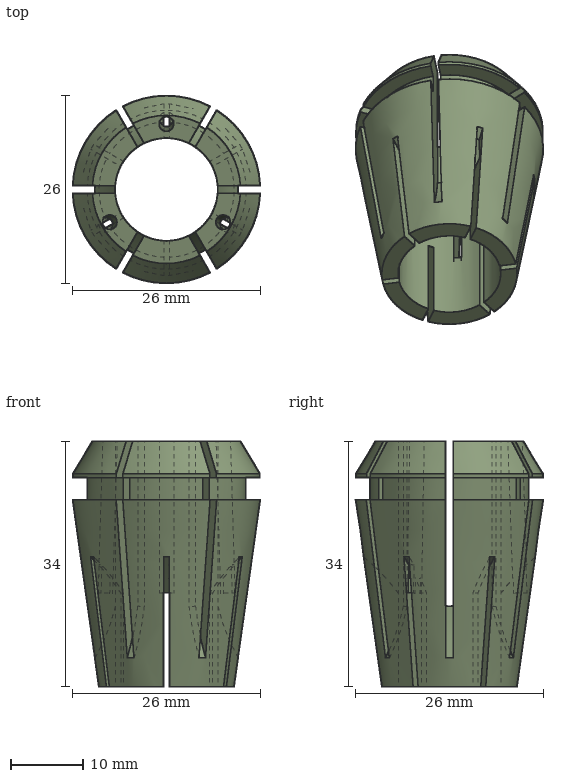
import cadquery as cq
import math

TOTAL_HEIGHT = 34.0
BORE_RADIUS = 7.1
MAX_RADIUS = 13.0
BODY_TOP_Z = 25.9
BODY_TAPER = 8.0
NECK_RADIUS = 11.0
HEAD_BOTTOM_Z = 28.95
HEAD_RIM_TOP_Z = 29.5
HEAD_RADIUS = 12.95
HEAD_TAPER = 31.0

SLOT_COUNT = 6
SLOT_PITCH = 360.0 / SLOT_COUNT
SAW_RADIUS = 27.0
TOP_SLOT_WIDTH = 1.05
TOP_SLOT_BORE_Z = 11.15
TOP_SLOT_OUTER_Z = 4.0
BOTTOM_SLOT_WIDTH = 0.8
BOTTOM_SLOT_BORE_Z = 13.0
BOTTOM_SLOT_OUTER_Z = 18.0

HOLE_ANGLES = (90.0, 210.0, 330.0)
HOLE_DIAMETER = 2.0
HOLE_CENTRE_RADIUS = 9.05
HOLE_LEAN = 2.0
HOLE_DEPTH = 21.0

CLEARANCE = 2.0

BODY_BOTTOM_RADIUS = MAX_RADIUS - BODY_TOP_Z * math.tan(math.radians(BODY_TAPER))
HEAD_CONE_HEIGHT = TOTAL_HEIGHT - HEAD_RIM_TOP_Z
HEAD_TOP_RADIUS = HEAD_RADIUS - HEAD_CONE_HEIGHT * math.tan(math.radians(HEAD_TAPER))


def body_radius(z):
    """Outer radius of the tapered body at height z."""
    return BODY_BOTTOM_RADIUS + z * math.tan(math.radians(BODY_TAPER))


def make_body():
    profile = [
        (BORE_RADIUS, 0),
        (BODY_BOTTOM_RADIUS, 0),
        (MAX_RADIUS, BODY_TOP_Z),
        (NECK_RADIUS, BODY_TOP_Z),
        (NECK_RADIUS, HEAD_BOTTOM_Z),
        (HEAD_RADIUS, HEAD_BOTTOM_Z),
        (HEAD_RADIUS, HEAD_RIM_TOP_Z),
        (HEAD_TOP_RADIUS, TOTAL_HEIGHT),
        (BORE_RADIUS, TOTAL_HEIGHT),
    ]
    return cq.Workplane("XZ").polyline(profile).close().revolve(360, (0, 0, 0), (0, 1, 0))


def saw_centre(bore_z, outer_z):
    """Centre (radius, z) of the saw whose arc joins the bore at bore_z to the cone at outer_z."""
    outer_radius = body_radius(outer_z)
    run = outer_radius - BORE_RADIUS
    rise = outer_z - bore_z
    chord = math.hypot(run, rise)
    offset = math.sqrt(SAW_RADIUS**2 - (chord / 2)**2)
    side = math.copysign(1, rise)
    centre_radius = (BORE_RADIUS + outer_radius) / 2 + offset * abs(rise) / chord
    centre_z = (bore_z + outer_z) / 2 - side * offset * run / chord
    return centre_radius, centre_z


def saw_disc(width, centre_radius, centre_z):
    """Upright disc in the radial plane through +X."""
    return (
        cq.Workplane("XZ")
        .center(centre_radius, centre_z)
        .circle(SAW_RADIUS)
        .extrude(width / 2, both=True)
    )


def make_top_slot():
    """Slot along +X: the saw arc as its floor, continued straight up through the top face."""
    centre_radius, centre_z = saw_centre(TOP_SLOT_BORE_Z, TOP_SLOT_OUTER_Z)
    straight_height = TOTAL_HEIGHT + CLEARANCE - centre_z
    straight_part = (
        cq.Workplane("XZ")
        .moveTo(centre_radius - SAW_RADIUS, centre_z)
        .rect(SAW_RADIUS, straight_height, centered=False)
        .extrude(TOP_SLOT_WIDTH / 2, both=True)
    )
    return saw_disc(TOP_SLOT_WIDTH, centre_radius, centre_z).union(straight_part)


def make_bottom_slot():
    """Slot along +X: the saw arc as its ceiling, with the disc reaching out past the bottom face."""
    centre_radius, centre_z = saw_centre(BOTTOM_SLOT_BORE_Z, BOTTOM_SLOT_OUTER_Z)
    return saw_disc(BOTTOM_SLOT_WIDTH, centre_radius, centre_z)


def make_hole():
    """Hole at +X, its axis tilted outwards about the centre of its mouth."""
    return (
        cq.Workplane("XY", origin=(HOLE_CENTRE_RADIUS, 0, TOTAL_HEIGHT + CLEARANCE))
        .circle(HOLE_DIAMETER / 2)
        .extrude(-HOLE_DEPTH - CLEARANCE)
        .rotate(
            (HOLE_CENTRE_RADIUS, 0, TOTAL_HEIGHT),
            (HOLE_CENTRE_RADIUS, 1, TOTAL_HEIGHT),
            -HOLE_LEAN,
        )
    )


def cut_around(body, cutter, angles):
    """Cut copies of a cutter made at +X, turned to each angle about Z."""
    for angle in angles:
        body = body.cut(cutter.rotate((0, 0, 0), (0, 0, 1), angle))
    return body


top_slot_angles = [i * SLOT_PITCH for i in range(SLOT_COUNT)]
bottom_slot_angles = [(i + 0.5) * SLOT_PITCH for i in range(SLOT_COUNT)]

result = make_body()
result = cut_around(result, make_top_slot(), top_slot_angles)
result = cut_around(result, make_bottom_slot(), bottom_slot_angles)
result = cut_around(result, make_hole(), HOLE_ANGLES)